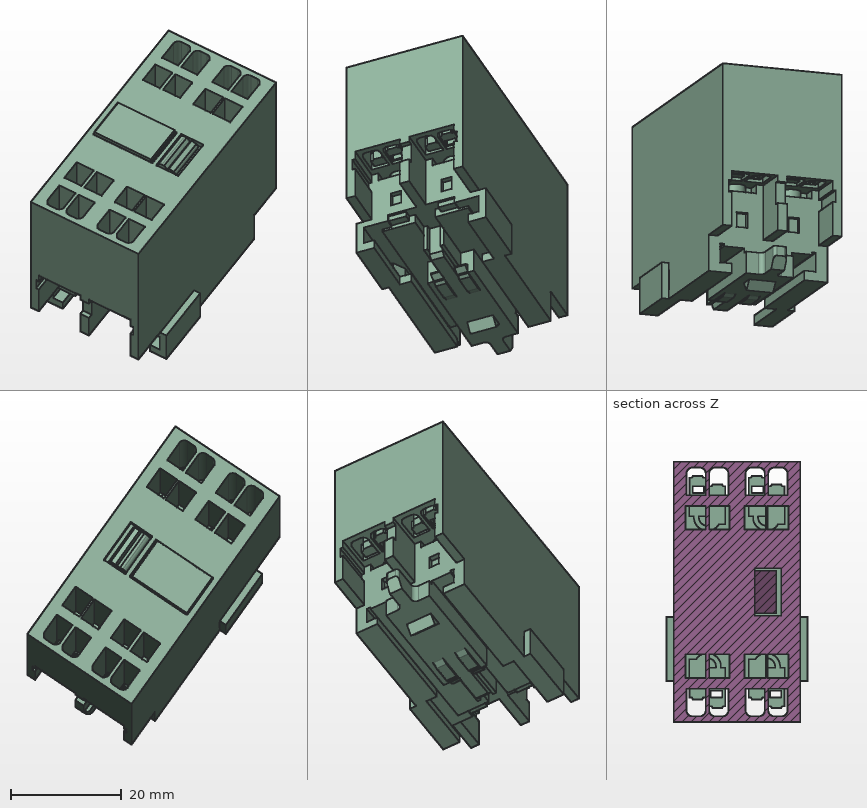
import cadquery as cq

length = 47.0
width = 22.9
top_z = 38.65
label_top_z = 39.2
skirt_z = 8.4
foot_z = 1.7
base_half_length = 16.07

bay_top_z = 18.65
bay_half_width = 9.75
fin_width = 1.85
fin_half_width = fin_width / 2
groove_half_width = 10.3
groove_bottom_z = 14.7
groove_top_z = 16.9
fin_relief_bottom_z = 13.5
fin_relief_top_z = 17.55
fin_relief_depth = 0.9

pole_spacing = 10.65
pole_x = pole_spacing / 2
slot_x_inner = 0.35
slot_x_outer = 3.75
slot_y_inner = 17.5
slot_y_outer = 22.4
slot_corner_radius = 1.05
pocket_x_outer = 3.95
pocket_x_inner_left = 0.35
pocket_x_inner_right = 0.2
pocket_y_inner = 11.3
pocket_y_outer = 15.5
pocket_floor_z = 20.7
terminal_top_z = 21.15
terminal_bottom_z = 19.25
terminal_half_width = 3.25
terminal_eye_y = 13.5
terminal_eye_radius = 2.45
terminal_eye_hole_radius = 1.55
long_tab_start = 13.7
long_tab_end = 20.65
short_tab_start = 12.15
short_tab_end = 19.1
tab_tip_length = 0.35
tab_tip_inset = 0.6
tab_tip_chamfer = 0.2
tab_window_y_inner = 17.85
tab_window_y_outer = 19.05

end_recess_half_width = 3.1
end_recess_bottom_z = 17.05
post_radius = 1.85
window_x = 5.0
window_width = 2.05
window_bottom_z = 10.45
window_height = 2.75
window_depth = 0.95

hook_width = 25.5
hook_half_width = hook_width / 2
hook_rear_y = -4.5
hook_inner_x = 11.35
hook_roof_z = 7.05
hook_lip_z = 3.5
front_lip_x = 9.25
rear_lip_x = 7.0
rear_web_start_x = 10.58
rear_web_x = 9.2
rear_web_taper = 2.35

front_notch_half_width = 6.6
front_notch_depth = 1.9
step_inner_x = 3.15
step_bottom_z = 7.4
step_setback = 0.45
rib_inner_x = 1.25
rib_outer_x = 1.97
rib_bottom_z = 3.0
rib_front_y = -10.35
plate_half_width = 8.45
plate_bottom_z = 6.6

latch_half_width = 4.55
latch_front_y = -2.8
latch_shoulder_y = 16.95
head_half_width = 1.25
head_end_y = 22.5
head_top_z = 5.75
head_edge_radius = 0.55
head_root_radius = 0.95
head_chamfer_length = 1.45
head_chamfer_height = 2.25
keel_nose_z = 2.5
keel_front_y = -9.4
latch_foot_outer_x = 3.4
latch_foot_top_z = 3.5
latch_foot_lip_z = 2.73
latch_foot_sole_z = 1.3
latch_foot_front_y = -4.05
latch_foot_sole_front_y = -1.9
latch_foot_sole_back_y = 1.65
latch_foot_back_y = 2.8
nose_half_width = 2.55
nose_y = 11.75
nose_length = 2.85
nose_half_length = nose_length / 2

label_x_min = -10.1
label_x_max = 1.97
label_half_length = 4.05
label_recess_x_min = -10.25
label_recess_x_max = 2.35
label_recess_half_length = 4.2
label_recess_depth = 0.3
slider_pocket_x_min = 3.25
slider_pocket_x_max = 7.95
slider_pocket_half_length = 4.3
slider_pocket_depth = 1.05
slider_half_length = 3.85

slider_width = 3.85
slider_edge_height = 0.38
slider_round_width = 0.9
tall_ridge_height = 1.35
ridge_round_mid_x = 0.3
ridge_round_mid_height = 1.05
tall_ridge_end = 1.4
valley_x = 2.1
valley_height = 0.7
low_ridge_x = 2.45
low_ridge_height = 1.18
tail_start = 3.5
tail_height = 0.9
tail_mid_x = 3.75
tail_mid_height = 0.6


def block(x_min, x_max, y_min, y_max, z_min, z_max):
    """Box between the given limits."""
    size = (x_max - x_min, y_max - y_min, z_max - z_min)
    return cq.Workplane("XY").box(*size, centered=False).translate((x_min, y_min, z_min))


def centred_block(half_width, y_min, y_max, z_min, z_max):
    """Box that is symmetric about X = 0."""
    return block(-half_width, half_width, y_min, y_max, z_min, z_max)


def both_sides(shape):
    """The shape and its mirror image across X = 0."""
    return shape.union(shape.mirror("YZ"))


def both_ends(shape):
    """The shape and its copy turned half a turn about Z."""
    return shape.union(shape.rotate((0, 0, 0), (0, 0, 1), 180))


def at_every_pole(shape):
    """Copies of a rear pole feature, drawn about X = 0, at all four poles."""
    rear = shape.translate((-pole_x, 0, 0)).union(shape.translate((pole_x, 0, 0)))
    return both_ends(rear)


def end_bays():
    """Open bays at both ends, with grooved side walls and a relieved centre fin."""
    outer_y = length / 2
    bay = block(fin_half_width, bay_half_width, base_half_length, outer_y, skirt_z, bay_top_z)
    groove = block(
        bay_half_width, groove_half_width, base_half_length, outer_y, groove_bottom_z, groove_top_z
    )
    fin_relief = centred_block(
        fin_half_width, outer_y - fin_relief_depth, outer_y, fin_relief_bottom_z, fin_relief_top_z
    )
    return both_ends(both_sides(bay.union(groove)).union(fin_relief))


def wire_slots():
    """Pair of slots, round-cornered at the outer end, that open into the end bay."""
    slot = block(slot_x_inner, slot_x_outer, slot_y_inner, slot_y_outer, bay_top_z, top_z)
    slot = slot.edges("|Z and >Y").fillet(slot_corner_radius)
    return both_sides(slot)


def tool_pockets():
    """Pairs of rectangular pockets above the terminals; the +X pairs stand closer together."""
    pockets = cq.Workplane("XY")
    for centre_x, x_inner in ((-pole_x, pocket_x_inner_left), (pole_x, pocket_x_inner_right)):
        pocket = block(x_inner, pocket_x_outer, pocket_y_inner, pocket_y_outer, pocket_floor_z, top_z)
        pair = both_sides(pocket).translate((centre_x, 0, 0))
        pockets = pockets.add(pair.union(pair.mirror("XZ")))
    return pockets.combine()


def terminal_tab(start_y, end_y):
    """Tab on the +X half of a pole with a narrower chamfered tip."""
    tip_inner = slot_x_inner + tab_tip_inset
    tip_outer = terminal_half_width - tab_tip_inset
    tip_y = end_y + tab_tip_length
    return (
        cq.Workplane("XY", origin=(0, 0, terminal_bottom_z))
        .moveTo(0, start_y)
        .lineTo(terminal_half_width, start_y)
        .lineTo(terminal_half_width, end_y)
        .lineTo(tip_outer + tab_tip_chamfer, end_y)
        .lineTo(tip_outer, tip_y)
        .lineTo(tip_inner, tip_y)
        .lineTo(tip_inner - tab_tip_chamfer, end_y)
        .lineTo(0, end_y)
        .close()
        .extrude(terminal_top_z - terminal_bottom_z)
    )


def terminal():
    """Contact plate with a long windowed tab, a short tab and a round eye."""
    thickness = terminal_top_z - terminal_bottom_z
    eye_centre = cq.Workplane("XY", origin=(0, terminal_eye_y, terminal_bottom_z))
    eye_hole = eye_centre.circle(terminal_eye_hole_radius).extrude(thickness)
    eye_hole = eye_hole.intersect(
        block(-terminal_eye_hole_radius, 0, 0, long_tab_start, terminal_bottom_z, terminal_top_z)
    )
    window = block(
        tab_tip_inset - terminal_half_width, -slot_x_inner - tab_tip_inset / 2,
        tab_window_y_inner, tab_window_y_outer, terminal_bottom_z, terminal_top_z,
    )
    return (
        eye_centre.circle(terminal_eye_radius).extrude(thickness)
        .union(terminal_tab(short_tab_start, short_tab_end))
        .union(terminal_tab(long_tab_start, long_tab_end).mirror("YZ"))
        .cut(eye_hole)
        .cut(window)
    )


def end_recess():
    """Recess under the bay ceiling with a round post left standing in it."""
    recess = centred_block(
        end_recess_half_width, terminal_eye_y, base_half_length, end_recess_bottom_z, bay_top_z
    )
    post = (
        cq.Workplane("XY", origin=(0, terminal_eye_y, end_recess_bottom_z))
        .circle(post_radius)
        .extrude(bay_top_z - end_recess_bottom_z)
    )
    return recess.cut(post)


def end_windows():
    """Shallow rectangular windows in the end faces of the base."""
    window = block(
        window_x - window_width / 2, window_x + window_width / 2,
        base_half_length - window_depth, base_half_length,
        window_bottom_z, window_bottom_z + window_height,
    )
    return both_ends(both_sides(window))


def rail_hooks():
    """C-shaped hooks along both sides, set further out over their front stretch."""
    front_hook = (
        block(front_lip_x, hook_half_width, -base_half_length, hook_rear_y, foot_z, skirt_z)
        .cut(block(front_lip_x, hook_inner_x, -base_half_length, hook_rear_y, hook_lip_z, hook_roof_z))
    )
    rear_lip = block(rear_lip_x, width / 2, hook_rear_y, base_half_length, foot_z, hook_lip_z)
    rear_web = (
        cq.Workplane("XY", origin=(0, 0, foot_z))
        .moveTo(width / 2, hook_rear_y)
        .lineTo(rear_web_start_x, hook_rear_y)
        .lineTo(rear_web_x, hook_rear_y + rear_web_taper)
        .lineTo(rear_web_x, base_half_length)
        .lineTo(width / 2, base_half_length)
        .close()
        .extrude(skirt_z - foot_z)
    )
    return both_sides(front_hook.union(rear_lip).union(rear_web))


def base_floor():
    """Floor of the base with its stepped front edge, centre channel and two hanging ribs."""
    front_y = -base_half_length
    back_y = base_half_length
    inner_front_y = front_y + front_notch_depth
    floor = centred_block(width / 2, front_y, back_y, hook_roof_z, skirt_z)
    notch = centred_block(front_notch_half_width, front_y, inner_front_y, hook_roof_z, skirt_z)
    plate = centred_block(plate_half_width, inner_front_y, back_y, plate_bottom_z, skirt_z)
    step = block(
        step_inner_x, front_notch_half_width, front_y + step_setback, inner_front_y, step_bottom_z, skirt_z
    )
    rib = block(rib_inner_x, rib_outer_x, rib_front_y, latch_front_y, rib_bottom_z, skirt_z)
    channel = centred_block(rib_outer_x, front_y, keel_front_y, plate_bottom_z, skirt_z)
    return floor.cut(notch).union(plate).cut(channel).union(both_sides(step.union(rib)))


def latch_head():
    """Release tab at the rear with a rounded end, bevelled underside and filleted root."""
    head = (
        centred_block(head_half_width, latch_shoulder_y, head_end_y, foot_z, head_top_z)
        .edges("|Z and >Y")
        .fillet(head_edge_radius)
    )
    bevel = (
        cq.Workplane("YZ")
        .moveTo(head_end_y, foot_z)
        .lineTo(head_end_y - head_chamfer_length, foot_z)
        .lineTo(head_end_y, foot_z + head_chamfer_height)
        .close()
        .extrude(head_half_width, both=True)
    )
    root_corner = head_half_width + head_root_radius
    root_end_y = latch_shoulder_y + head_root_radius
    root = block(
        head_half_width, root_corner, latch_shoulder_y, root_end_y, foot_z, head_top_z
    ).cut(
        cq.Workplane("XY", origin=(root_corner, root_end_y, foot_z))
        .circle(head_root_radius)
        .extrude(head_top_z - foot_z)
    )
    return head.cut(bevel).union(both_sides(root))


def latch_feet():
    """Two feet beside the keel, bevelled at the front and rising just below the latch."""
    foot = (
        cq.Workplane("YZ", origin=(rib_inner_x, 0, 0))
        .moveTo(latch_front_y, latch_foot_top_z)
        .lineTo(latch_foot_front_y, latch_foot_lip_z)
        .lineTo(latch_foot_front_y, keel_nose_z)
        .lineTo(latch_foot_sole_front_y, latch_foot_sole_z)
        .lineTo(latch_foot_sole_back_y, latch_foot_sole_z)
        .lineTo(latch_foot_back_y, foot_z)
        .lineTo(latch_foot_back_y, latch_foot_top_z)
        .close()
        .extrude(latch_foot_outer_x - rib_inner_x)
    )
    return both_sides(foot)


def latch():
    """Latch bar under the base with its keel, feet, V-shaped nose and release tab."""
    body = centred_block(latch_half_width, latch_front_y, base_half_length, foot_z, skirt_z)
    shoulder = centred_block(latch_half_width, base_half_length, latch_shoulder_y, foot_z, head_top_z)
    keel = (
        cq.Workplane("YZ")
        .moveTo(latch_front_y, foot_z)
        .lineTo(keel_front_y + keel_nose_z - foot_z, foot_z)
        .lineTo(keel_front_y, keel_nose_z)
        .lineTo(keel_front_y, skirt_z)
        .lineTo(latch_front_y, skirt_z)
        .close()
        .extrude(rib_inner_x, both=True)
    )
    nose = (
        cq.Workplane("YZ")
        .moveTo(nose_y - nose_half_length, foot_z)
        .lineTo(nose_y, 0)
        .lineTo(nose_y + nose_half_length, foot_z)
        .close()
        .extrude(nose_half_width, both=True)
    )
    return body.union(shoulder).union(keel).union(nose).union(latch_feet()).union(latch_head())


def label_recess():
    """Shallow rectangular recess for the label plate."""
    return block(
        label_recess_x_min, label_recess_x_max, -label_recess_half_length, label_recess_half_length,
        top_z - label_recess_depth, top_z,
    )


def slider_pocket():
    """Rectangular pocket for the slider."""
    return block(
        slider_pocket_x_min, slider_pocket_x_max, -slider_pocket_half_length, slider_pocket_half_length,
        top_z - slider_pocket_depth, top_z,
    )


def make_housing():
    """Housing with its terminals, rail hooks and latch."""
    return (
        centred_block(width / 2, -length / 2, length / 2, skirt_z, top_z)
        .cut(end_bays())
        .cut(at_every_pole(wire_slots()))
        .cut(tool_pockets())
        .union(at_every_pole(terminal()))
        .cut(at_every_pole(end_recess()))
        .cut(end_windows())
        .cut(label_recess())
        .cut(slider_pocket())
        .union(rail_hooks())
        .union(base_floor())
        .union(latch())
    )


def make_label():
    """Flat label plate standing proud of the top face."""
    return block(
        label_x_min, label_x_max, -label_half_length, label_half_length,
        top_z - label_recess_depth, label_top_z,
    )


def make_slider():
    """Slider with a tall rounded ridge, a narrow valley and a lower ridge along Y."""
    floor_z = top_z - slider_pocket_depth
    return (
        cq.Workplane("XZ", origin=(slider_pocket_x_min, 0, floor_z))
        .lineTo(0, slider_edge_height)
        .threePointArc(
            (ridge_round_mid_x, ridge_round_mid_height),
            (slider_round_width, tall_ridge_height),
        )
        .lineTo(tall_ridge_end, tall_ridge_height)
        .lineTo(valley_x, valley_height)
        .lineTo(low_ridge_x, low_ridge_height)
        .lineTo(tail_start, tail_height)
        .threePointArc((tail_mid_x, tail_mid_height), (slider_width, 0))
        .close()
        .extrude(slider_half_length, both=True)
    )


housing = make_housing()
label = make_label()
slider = make_slider()

result = cq.Compound.makeCompound([housing.val(), label.val(), slider.val()])